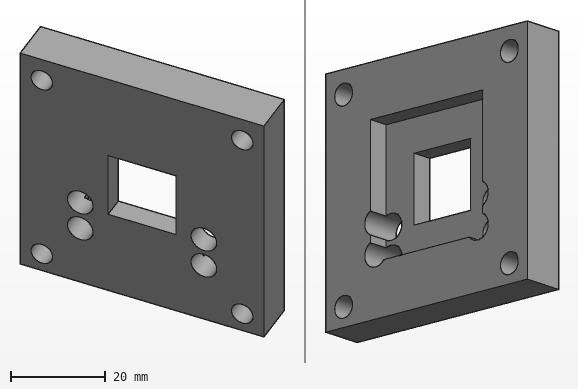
import cadquery as cq

plate_side = 57.0
plate_thickness = 10.0

window_side = 15.85

recess_side = 2 * window_side
recess_depth = plate_thickness / 2

corner_hole_diameter = 5.0
corner_hole_spacing = 46.85
corner_pattern_z = -0.5

pair_hole_diameter = 6.0
pair_spacing_x = 28.9
pair_spacing_z = 7.0
pair_pattern_z = -10.5


def through_holes(diameter, spacing_x, spacing_z, center_z):
    """Four cylinders along Y in a rectangular pattern, for cutting through the plate."""
    return (
        cq.Workplane("XZ", origin=(0, 0, center_z))
        .rarray(spacing_x, spacing_z, 2, 2)
        .circle(diameter / 2)
        .extrude(plate_thickness / 2, both=True)
    )


plate = cq.Workplane("XY").box(plate_side, plate_thickness, plate_side)
window = cq.Workplane("XY").box(window_side, plate_thickness, window_side)
recess = cq.Workplane("XY").box(recess_side, recess_depth, recess_side).translate(
    (0, (plate_thickness - recess_depth) / 2, 0)
)
corner_holes = through_holes(
    corner_hole_diameter, corner_hole_spacing, corner_hole_spacing, corner_pattern_z
)
pair_holes = through_holes(pair_hole_diameter, pair_spacing_x, pair_spacing_z, pair_pattern_z)

result = plate.cut(window).cut(recess).cut(corner_holes).cut(pair_holes)